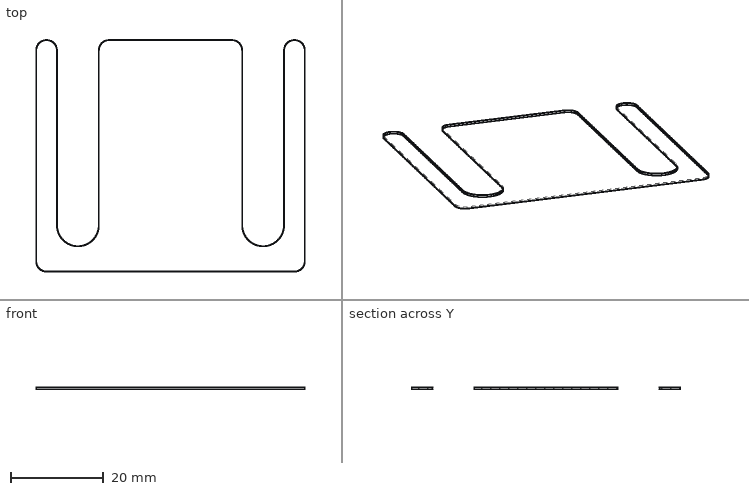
import cadquery as cq
import math

width = 58.0
depth = 50.0
thickness = 0.5

tongue_width = 31.0
slot_width = 9.0
slot_floor_height = 5.5

slot_radius = slot_width / 2
arm_width = (width - tongue_width) / 2 - slot_width
corner_radius = arm_width / 2

front = -depth / 2
back = depth / 2
right = width / 2
tongue_side = tongue_width / 2
arm_inside = right - arm_width
slot_center_x = tongue_side + slot_radius
arm_center_x = right - corner_radius
slot_floor = front + slot_floor_height
slot_arc_start = slot_floor + slot_radius
tip_arc_start = back - corner_radius

corner_inset = corner_radius * (1 - math.sqrt(0.5))

half_plate = (
    cq.Workplane("XY")
    .moveTo(0, front)
    .lineTo(right - corner_radius, front)
    .threePointArc((right - corner_inset, front + corner_inset), (right, front + corner_radius))
    .lineTo(right, tip_arc_start)
    .threePointArc((arm_center_x, back), (arm_inside, tip_arc_start))
    .lineTo(arm_inside, slot_arc_start)
    .threePointArc((slot_center_x, slot_floor), (tongue_side, slot_arc_start))
    .lineTo(tongue_side, tip_arc_start)
    .threePointArc(
        (tongue_side - corner_inset, back - corner_inset),
        (tongue_side - corner_radius, back),
    )
    .lineTo(0, back)
    .close()
    .extrude(thickness)
)

result = half_plate.union(half_plate.mirror("YZ")).clean()